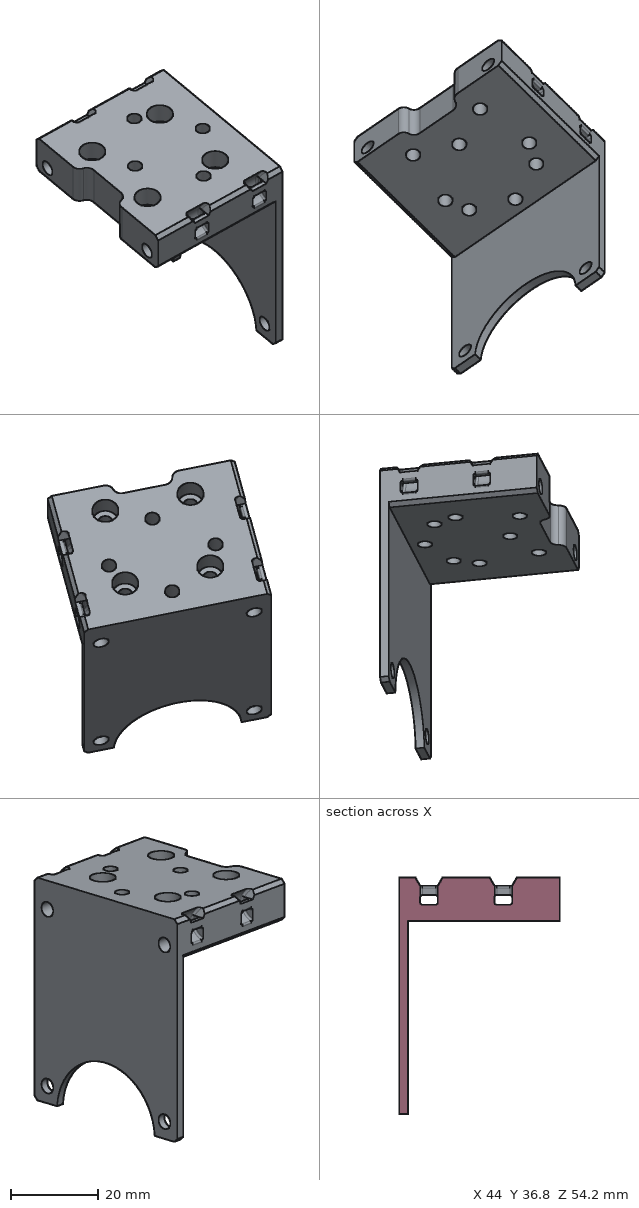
import cadquery as cq
import math

WIDTH = 44.0
DEPTH = 36.8
HEIGHT = 54.2
BLOCK_HEIGHT = 10.0
PLATE_THICKNESS = 2.05
EDGE_CHAMFER = 1.0
HALF_WIDTH = WIDTH / 2

FOOT_CUTOUT_RADIUS = 15.0
FOOT_CUTOUT_DROP = 0.85

RELIEF_HALF_WIDTH = 5.0
RELIEF_DEPTH = 3.0
RELIEF_RADIUS = 2.0

SIDE_HOLE_DIAMETER = 3.6
SIDE_HOLE_SPACING = 36.0
UPPER_HOLE_Z = -7.0
LOWER_HOLE_Z = -49.95

SCREW_DIAMETER = 3.3
SCREW_HEAD_DIAMETER = 6.0
SCREW_HEAD_DEPTH = 5.0
SCREW_SPACING = 20.0
HEADED_SCREW_CENTRE_Y = -20.1
PLAIN_SCREW_CENTRE_Y = -15.6
PLAIN_SCREW_SPACING_X = 25.05

TIE_CHANNEL_WIDTH = 4.0
TIE_CHANNEL_YS = (-6.85, -23.85)
TIE_LOOP_RADIUS = 4.45
TIE_LOOP_CENTRE_OUTSET = 1.1
TIE_LOOP_CENTRE_Z = -2.75
TIE_BRIDGE_TOP_Z = -1.9
TIE_BRIDGE_BOTTOM_Z = -4.05
TIE_BRIDGE_DEPTH = 1.45
TIE_CORNER_RADIUS = 0.5
TIE_FLAT_WIDTH = TIE_CHANNEL_WIDTH - 2 * TIE_CORNER_RADIUS
TIE_NOTCH_FLARE_ANGLE = 30.0
TIE_OVERCUT = 0.55
SELECTION_MARGIN = 0.05


def make_body():
    block = (
        cq.Workplane("XY")
        .box(WIDTH, DEPTH, BLOCK_HEIGHT, centered=(True, False, False))
        .translate((0, -DEPTH, -BLOCK_HEIGHT))
        .edges("|Y")
        .chamfer(EDGE_CHAMFER)
    )
    plate = (
        cq.Workplane("XY")
        .box(WIDTH, PLATE_THICKNESS, HEIGHT, centered=(True, False, False))
        .translate((0, -PLATE_THICKNESS, -HEIGHT))
        .edges("|Y")
        .chamfer(EDGE_CHAMFER)
    )
    return block.union(plate)


def make_foot_cutout():
    return (
        cq.Workplane("XZ")
        .center(0, -HEIGHT - FOOT_CUTOUT_DROP)
        .circle(FOOT_CUTOUT_RADIUS)
        .extrude(PLATE_THICKNESS)
    )


def make_front_relief():
    """Each S is two equal arcs, tangent to each other and to the faces they join."""
    sweep = math.acos(1 - RELIEF_DEPTH / (2 * RELIEF_RADIUS))
    half_run = RELIEF_RADIUS * math.sin(sweep)
    half_rise = RELIEF_DEPTH / 2
    mid_run = RELIEF_RADIUS * math.sin(sweep / 2)
    mid_rise = RELIEF_RADIUS * (1 - math.cos(sweep / 2))
    bend_x = RELIEF_HALF_WIDTH + half_run
    mouth_x = RELIEF_HALF_WIDTH + 2 * half_run
    back_y = -DEPTH + RELIEF_DEPTH
    bend_y = -DEPTH + half_rise
    inner_mid_x = RELIEF_HALF_WIDTH + mid_run
    return (
        cq.Workplane("XY")
        .moveTo(-mouth_x, -DEPTH)
        .threePointArc((-mouth_x + mid_run, -DEPTH + mid_rise), (-bend_x, bend_y))
        .threePointArc((-inner_mid_x, back_y - mid_rise), (-RELIEF_HALF_WIDTH, back_y))
        .lineTo(RELIEF_HALF_WIDTH, back_y)
        .threePointArc((inner_mid_x, back_y - mid_rise), (bend_x, bend_y))
        .threePointArc((mouth_x - mid_run, -DEPTH + mid_rise), (mouth_x, -DEPTH))
        .close()
        .extrude(-BLOCK_HEIGHT)
    )


def make_side_holes():
    places = [
        (side * SIDE_HOLE_SPACING / 2, z) for side in (-1, 1) for z in (UPPER_HOLE_Z, LOWER_HOLE_Z)
    ]
    return cq.Workplane("XZ").pushPoints(places).circle(SIDE_HOLE_DIAMETER / 2).extrude(DEPTH)


def make_screw_holes():
    headed = cq.Workplane("XY").center(0, HEADED_SCREW_CENTRE_Y)
    headed = headed.rect(SCREW_SPACING, SCREW_SPACING, forConstruction=True).vertices()
    heads = headed.circle(SCREW_HEAD_DIAMETER / 2).extrude(-SCREW_HEAD_DEPTH)
    shanks = headed.circle(SCREW_DIAMETER / 2).extrude(-BLOCK_HEIGHT)
    plain_places = [
        (-PLAIN_SCREW_SPACING_X / 2, 0),
        (PLAIN_SCREW_SPACING_X / 2, 0),
        (0, -SCREW_SPACING / 2),
        (0, SCREW_SPACING / 2),
    ]
    plain = (
        cq.Workplane("XY")
        .center(0, PLAIN_SCREW_CENTRE_Y)
        .pushPoints(plain_places)
        .circle(SCREW_DIAMETER / 2)
        .extrude(-BLOCK_HEIGHT)
    )
    return heads.union(shanks).union(plain)


def make_rounding(centre, arc_start, arc_end, corner):
    """Cutter that rounds off an edge along Y; all points are (x, z)."""
    arc_middle = [
        middle + TIE_CORNER_RADIUS * (tip - middle) / math.dist(centre, corner)
        for middle, tip in zip(centre, corner)
    ]
    return (
        cq.Workplane("XZ")
        .moveTo(*arc_start)
        .threePointArc(arc_middle, arc_end)
        .lineTo(*corner)
        .close()
        .extrude(TIE_FLAT_WIDTH / 2, both=True)
    )


def make_loop_mouth_rounding():
    """Rounding tangent to the side face and to the loop, at the bottom of the side window."""
    run = TIE_LOOP_CENTRE_OUTSET + TIE_CORNER_RADIUS
    reach = TIE_LOOP_RADIUS + TIE_CORNER_RADIUS
    drop = math.sqrt(reach**2 - run**2)
    centre = (TIE_CORNER_RADIUS, TIE_LOOP_CENTRE_Z - drop)
    tangent_point = (
        run * TIE_LOOP_RADIUS / reach - TIE_LOOP_CENTRE_OUTSET,
        TIE_LOOP_CENTRE_Z - drop * TIE_LOOP_RADIUS / reach,
    )
    mouth_z = TIE_LOOP_CENTRE_Z - math.sqrt(TIE_LOOP_RADIUS**2 - TIE_LOOP_CENTRE_OUTSET**2)
    return make_rounding(centre, (0, centre[1]), tangent_point, (0, mouth_z))


def make_tie_channel():
    """Cutter for one channel, with the side face at x = 0 and its middle at y = 0."""
    loop = (
        cq.Workplane("XZ")
        .center(-TIE_LOOP_CENTRE_OUTSET, TIE_LOOP_CENTRE_Z)
        .circle(TIE_LOOP_RADIUS)
        .extrude(TIE_CHANNEL_WIDTH * 2, both=True)
    )
    half_width = TIE_CHANNEL_WIDTH / 2
    flare = math.tan(math.radians(TIE_NOTCH_FLARE_ANGLE))
    top_half_width = half_width + (TIE_OVERCUT - TIE_BRIDGE_TOP_Z) * flare
    loop_bottom_z = TIE_LOOP_CENTRE_Z - TIE_LOOP_RADIUS
    cutter = (
        cq.Workplane("YZ", origin=(-TIE_OVERCUT, 0, 0))
        .polyline([
            (-half_width, loop_bottom_z),
            (half_width, loop_bottom_z),
            (half_width, TIE_BRIDGE_TOP_Z),
            (top_half_width, TIE_OVERCUT),
            (-top_half_width, TIE_OVERCUT),
            (-half_width, TIE_BRIDGE_TOP_Z),
        ])
        .close()
        .extrude(TIE_LOOP_RADIUS + TIE_OVERCUT)
        .intersect(loop)
    )
    loop_edges = cutter.faces("%CYLINDER").edges("not |Y")
    cutter = cutter.newObject(loop_edges.vals()).fillet(TIE_CORNER_RADIUS)
    bridge = (
        cq.Workplane("XY")
        .box(
            TIE_BRIDGE_DEPTH + TIE_OVERCUT,
            TIE_CHANNEL_WIDTH,
            TIE_BRIDGE_TOP_Z - TIE_BRIDGE_BOTTOM_Z,
            centered=(False, True, False),
        )
        .translate((-TIE_OVERCUT, 0, TIE_BRIDGE_BOTTOM_Z))
    )
    cutter = cutter.cut(bridge)

    beside_bridge = cq.selectors.BoxSelector(
        (-TIE_OVERCUT, -TIE_CHANNEL_WIDTH, TIE_BRIDGE_BOTTOM_Z - SELECTION_MARGIN),
        (TIE_BRIDGE_DEPTH + SELECTION_MARGIN, TIE_CHANNEL_WIDTH, TIE_BRIDGE_TOP_Z - SELECTION_MARGIN),
    )
    cutter = cutter.edges(beside_bridge).edges("|X or |Z").fillet(TIE_CORNER_RADIUS)

    bridge_back_centre = (TIE_BRIDGE_DEPTH - TIE_CORNER_RADIUS, TIE_BRIDGE_TOP_Z - TIE_CORNER_RADIUS)
    bridge_back_rounding = make_rounding(
        bridge_back_centre,
        (bridge_back_centre[0], TIE_BRIDGE_TOP_Z),
        (TIE_BRIDGE_DEPTH, bridge_back_centre[1]),
        (TIE_BRIDGE_DEPTH, TIE_BRIDGE_TOP_Z),
    )
    bridge_mouth_centre = (TIE_CORNER_RADIUS, TIE_BRIDGE_BOTTOM_Z + TIE_CORNER_RADIUS)
    bridge_mouth_rounding = make_rounding(
        bridge_mouth_centre,
        (0, bridge_mouth_centre[1]),
        (bridge_mouth_centre[0], TIE_BRIDGE_BOTTOM_Z),
        (0, TIE_BRIDGE_BOTTOM_Z),
    )
    return (
        cutter.union(bridge_back_rounding).union(bridge_mouth_rounding).union(make_loop_mouth_rounding())
    )


result = (
    make_body()
    .cut(make_foot_cutout())
    .cut(make_front_relief())
    .cut(make_side_holes())
    .cut(make_screw_holes())
)
tie_channel = make_tie_channel()
for channel_y in TIE_CHANNEL_YS:
    left_channel = tie_channel.translate((-HALF_WIDTH, channel_y, 0))
    result = result.cut(left_channel).cut(left_channel.mirror("YZ"))